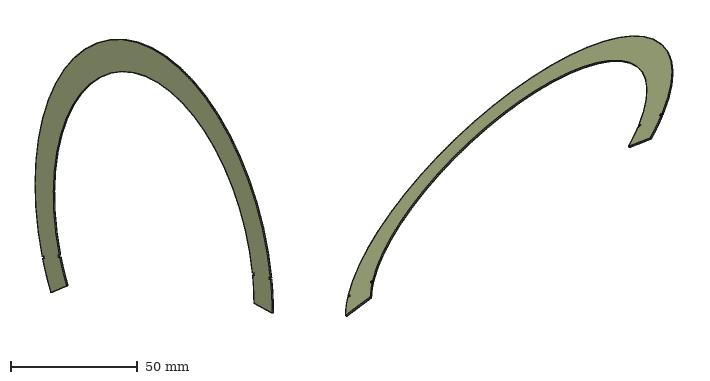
import cadquery as cq
import math

outer_radius = 84.2
band_width = 13.0
inner_radius = outer_radius - band_width
thickness = 0.7
sweep_angle = 210.0
notch_width = 0.8
notch_depth = 1.0
notch_end_offset = 9.7


def arc_point(radius, angle):
    """Point (x, z) on a circle about the arc centre, angle in degrees."""
    radians = math.radians(angle)
    return radius * math.cos(radians), radius * math.sin(radians)


band = (
    cq.Workplane("XZ")
    .moveTo(*arc_point(outer_radius, 0))
    .threePointArc(arc_point(outer_radius, sweep_angle / 2), arc_point(outer_radius, sweep_angle))
    .lineTo(*arc_point(inner_radius, sweep_angle))
    .threePointArc(arc_point(inner_radius, sweep_angle / 2), arc_point(inner_radius, 0))
    .close()
    .extrude(thickness / 2, both=True)
)


def edge_notches(angle):
    """Cutters for a pair of small notches, in the outer and inner edges at one angle."""
    cutters = (
        cq.Workplane("XZ")
        .pushPoints([(inner_radius, 0), (outer_radius, 0)])
        .rect(2 * notch_depth, notch_width)
        .extrude(thickness, both=True)
    )
    return cutters.rotate((0, 0, 0), (0, -1, 0), angle)


result = band
for notch_angle in (notch_end_offset, sweep_angle - notch_end_offset):
    result = result.cut(edge_notches(notch_angle))